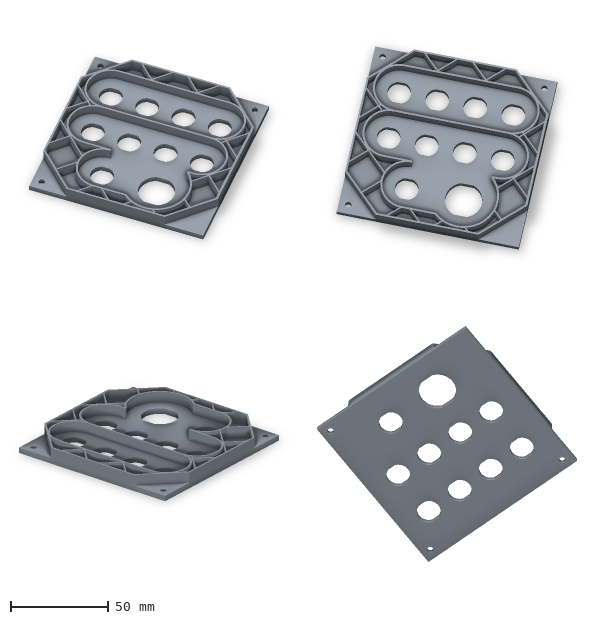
import cadquery as cq
import math

plate_size = 95.0
right_overhang = 0.75
plate_length = plate_size + right_overhang
base_thickness = 3.0
cell_floor_thickness = 2.0
total_height = 9.0
plate_middle = plate_size / 2

wall_thickness = 1.0
right_wall_thickness = 1.25
rib_thickness = 0.75
rib_pitch = 18.0
rib_steps = range(-2, 3)
corner_cut = 20.5

mount_hole_diameter = 3.25
mount_hole_inset = 5.0

small_hole_diameter = 12.25
small_hole_flats = 11.5
large_hole_diameter = 19.25
large_hole_flats = 18.0

first_column_x = 17.5
column_pitch = 20.0
column_count = 4
last_column_x = first_column_x + (column_count - 1) * column_pitch
bay_radius = 12.5
row_pitch = 2 * bay_radius + wall_thickness
lower_row_y = 20.0
middle_row_y = 46.15
upper_row_y = middle_row_y + row_pitch
lower_small_x = 32.5
lower_large_x = 62.5
large_bay_radius = 17.25


def prism(points, floor):
    """Polygonal block from the height floor up to the rim."""
    return cq.Workplane("XY", origin=(0, 0, floor)).polyline(points).close().extrude(total_height - floor)


def disc(x, y, radius, floor):
    """Cylinder from the height floor up to the rim."""
    return cq.Workplane("XY", origin=(x, y, floor)).circle(radius).extrude(total_height - floor)


def block(x_min, x_max, y_min, y_max, floor):
    """Rectangular block from the height floor up to the rim."""
    return prism([(x_min, y_min), (x_max, y_min), (x_max, y_max), (x_min, y_max)], floor)


def row_bay(y, margin, floor):
    """Round-ended bay around a full row of openings, grown by margin."""
    radius = bay_radius + margin
    bay = block(first_column_x, last_column_x, y - radius, y + radius, floor)
    bay = bay.union(disc(first_column_x, y, radius, floor))
    return bay.union(disc(last_column_x, y, radius, floor))


def lower_bay(margin, floor):
    """Bay around the two openings of the lower row, grown by margin."""
    radius = bay_radius + margin
    bay = block(lower_small_x, lower_large_x, lower_row_y - radius, lower_row_y + radius, floor)
    bay = bay.union(disc(lower_small_x, lower_row_y, radius, floor))
    return bay.union(disc(lower_large_x, lower_row_y, large_bay_radius + margin, floor))


def all_bays(margin, floor):
    """The three bays together, grown by margin."""
    bays = row_bay(upper_row_y, margin, floor)
    bays = bays.union(row_bay(middle_row_y, margin, floor))
    return bays.union(lower_bay(margin, floor))


def bay_passage(floor):
    """Gap in the wall that joins the middle bay to the lower bay."""
    y_min = lower_row_y + bay_radius
    half_chord = math.sqrt(large_bay_radius**2 - bay_radius**2)
    return block(lower_small_x, lower_large_x + half_chord, y_min, middle_row_y - bay_radius, floor)


def frame_outline(inset, right):
    """Corner points of the eight-sided frame: right is the +X side, the others are moved inwards by inset."""
    low = inset
    high = plate_size - inset
    reach = corner_cut + inset * math.sqrt(2)
    near = reach - inset
    far = plate_size - near
    right_near = reach + right - plate_size
    right_far = plate_size - right_near
    return [
        (near, low),
        (far, low),
        (right, right_near),
        (right, right_far),
        (far, high),
        (near, high),
        (low, far),
        (low, near),
    ]


def rib_lattice(floor):
    """Two crossing sets of parallel diagonal ribs centred on the plate."""
    lattice = cq.Workplane("XY")
    for angle in (45, -45):
        for step in rib_steps:
            rib = (
                cq.Workplane("XY", origin=(plate_middle, plate_middle, floor))
                .transformed(rotate=(0, 0, angle))
                .center(0, step * rib_pitch)
                .rect(2 * plate_size, rib_thickness)
                .extrude(total_height - floor)
            )
            lattice = lattice.union(rib)
    return lattice


def flatted_hole(x, y, diameter, across_flats):
    """Cutter for a round opening with two flats, through the base."""
    cutter = cq.Workplane("XY", origin=(x, y, 0)).circle(diameter / 2).extrude(base_thickness)
    flats = cq.Workplane("XY", origin=(x, y, 0)).rect(diameter, across_flats).extrude(base_thickness)
    return cutter.intersect(flats)


base = cq.Workplane("XY").box(plate_length, plate_size, base_thickness, centered=False)

frame = prism(frame_outline(0, plate_length), base_thickness)
result = base.union(frame)

cells = prism(frame_outline(wall_thickness, plate_length - right_wall_thickness), cell_floor_thickness)
cells = cells.cut(rib_lattice(cell_floor_thickness))
cells = cells.cut(all_bays(wall_thickness, cell_floor_thickness))
result = result.cut(cells)

result = result.cut(all_bays(0, base_thickness)).cut(bay_passage(base_thickness))

for row_y in (upper_row_y, middle_row_y):
    for column in range(column_count):
        column_x = first_column_x + column * column_pitch
        result = result.cut(flatted_hole(column_x, row_y, small_hole_diameter, small_hole_flats))
result = result.cut(flatted_hole(lower_small_x, lower_row_y, small_hole_diameter, small_hole_flats))
result = result.cut(flatted_hole(lower_large_x, lower_row_y, large_hole_diameter, large_hole_flats))

mount_far = plate_size - mount_hole_inset
mount_points = [
    (mount_hole_inset, mount_hole_inset),
    (mount_hole_inset, mount_far),
    (mount_far, mount_far),
]
mount_holes = cq.Workplane("XY").pushPoints(mount_points).circle(mount_hole_diameter / 2).extrude(base_thickness)
result = result.cut(mount_holes)